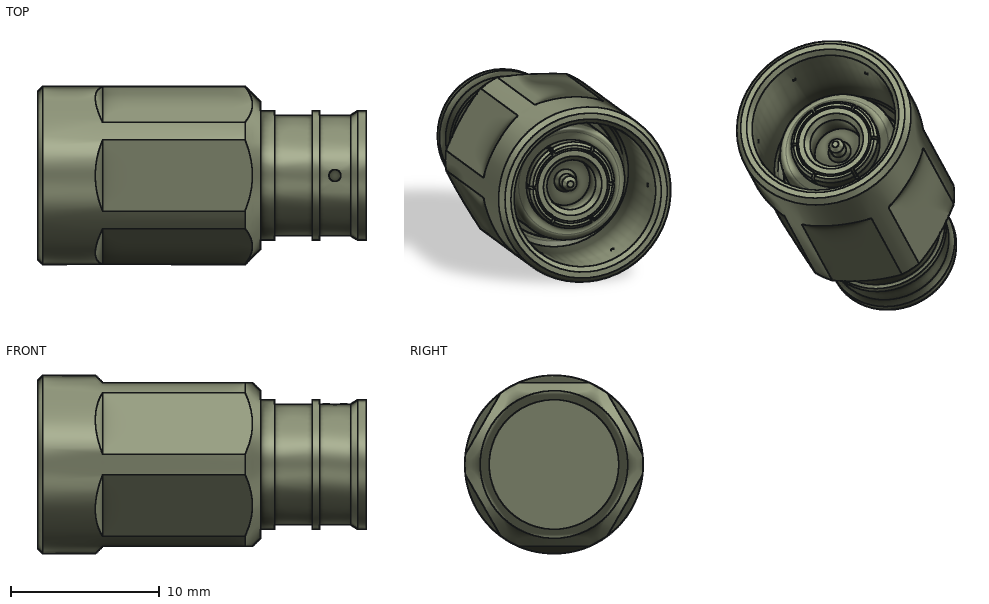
import cadquery as cq
import math


total_length = 22.1
nut_diameter = 12.0
nut_radius = nut_diameter / 2
nut_rear = 14.98
front_chamfer = 0.35
rear_chamfer = 1.04

flat_count = 6
flat_distance = 5.5
flat_start = 4.38
flat_ramp = 0.66

rim_radius = 4.35
neck_radius = 4.07
collar_end = 15.93
ring_start = 18.45
ring_end = 18.96
rear_cone_start = 21.05
rear_cone_end = 21.53

cross_hole_x = 19.98
cross_hole_diameter = 0.8
cross_hole_depth = 0.8

mouth_chamfer = 0.3
cavity_radius = 4.93
cavity_floor_radius = 4.4
cavity_floor = 7.95

seat_start = 7.3
seat_outer_depth = 0.22
seat_inner_depth = 0.18
seat_radius = 4.7
seat_offset_y = 0.02
seat_offset_z = 0.13

boss_radius = 4.0
boss_round = 0.49
boss_front = 4.42

collet_front = 3.45
collet_radius = 2.96
collet_chamfer = 0.2
collet_bore = 2.56
gap_floor = 4.86
slot_count = 6
slot_width = 0.2
slot_taper = 0.18

tube_radius = 2.43
socket_radius = 1.7
socket_chamfer = 0.33
socket_floor = 5.3

pin_tip = 3.98
pin_tip_radius = 0.22
pin_radius = 0.5
pin_base_radius = 0.77

cut_margin = 1.1


def make_body():
    """Revolve the half section, with the radius along Y, about the X axis."""
    pin_tip_cone = pin_radius - pin_tip_radius
    pin_base_cone = pin_base_radius - pin_radius
    round_middle = boss_round * math.sqrt(0.5)
    section = (
        cq.Workplane("XY")
        .moveTo(pin_tip, 0)
        .lineTo(pin_tip, pin_tip_radius)
        .lineTo(pin_tip + pin_tip_cone, pin_radius)
        .lineTo(socket_floor - pin_base_cone, pin_radius)
        .lineTo(socket_floor, pin_base_radius)
        .lineTo(socket_floor, socket_radius)
        .lineTo(collet_front + socket_chamfer, socket_radius)
        .lineTo(collet_front, socket_radius + socket_chamfer)
        .lineTo(collet_front, tube_radius)
        .lineTo(gap_floor, tube_radius)
        .lineTo(gap_floor, collet_bore)
        .lineTo(collet_front, collet_bore)
        .lineTo(collet_front, collet_radius - collet_chamfer)
        .lineTo(collet_front + collet_chamfer, collet_radius)
        .lineTo(boss_front, collet_radius)
        .lineTo(boss_front, boss_radius - boss_round)
        .threePointArc(
            (boss_front + boss_round - round_middle, boss_radius - boss_round + round_middle),
            (boss_front + boss_round, boss_radius),
        )
        .lineTo(cavity_floor, boss_radius)
        .lineTo(cavity_floor, cavity_floor_radius)
        .lineTo(seat_start, cavity_floor_radius)
        .lineTo(seat_start, cavity_radius)
        .lineTo(mouth_chamfer, cavity_radius)
        .lineTo(0, cavity_radius + mouth_chamfer)
        .lineTo(0, nut_radius - front_chamfer)
        .lineTo(front_chamfer, nut_radius)
        .lineTo(nut_rear - rear_chamfer, nut_radius)
        .lineTo(nut_rear, nut_radius - rear_chamfer)
        .lineTo(nut_rear, rim_radius)
        .lineTo(collar_end, rim_radius)
        .lineTo(collar_end, neck_radius)
        .lineTo(ring_start, neck_radius)
        .lineTo(ring_start, rim_radius)
        .lineTo(ring_end, rim_radius)
        .lineTo(ring_end, neck_radius)
        .lineTo(rear_cone_start, neck_radius)
        .lineTo(rear_cone_end, rim_radius)
        .lineTo(total_length, rim_radius)
        .lineTo(total_length, 0)
        .close()
    )
    return section.revolve(360, (0, 0, 0), (1, 0, 0))


def cut_seat(body):
    """Taper the step behind the cavity in two stages, leaving the boss untouched."""
    middle_x = seat_start + seat_outer_depth
    end_x = middle_x + seat_inner_depth

    def circle_across_axis(x, radius, y=0, z=0):
        return cq.Wire.makeCircle(radius, cq.Vector(x, y, z), cq.Vector(1, 0, 0))

    entry = circle_across_axis(seat_start, cavity_radius)
    middle = circle_across_axis(middle_x, seat_radius, seat_offset_y, seat_offset_z)
    end = circle_across_axis(end_x, cavity_floor_radius)
    gap_middle = (boss_radius + cavity_floor_radius) / 2
    core = cq.Workplane("YZ").circle(gap_middle).extrude(total_length)
    for front, rear in ((entry, middle), (middle, end)):
        frustum = cq.Workplane(cq.Solid.makeLoft([front, rear], True))
        body = body.cut(frustum.cut(core))
    return body


def cut_flats(body):
    """Mill the wrench flats, open to the rear and with a 45 degree run-out at the front."""
    cutter = (
        cq.Workplane("XZ")
        .moveTo(flat_start, flat_distance)
        .lineTo(flat_start - flat_ramp, flat_distance + flat_ramp)
        .lineTo(nut_rear + cut_margin, flat_distance + flat_ramp)
        .lineTo(nut_rear + cut_margin, flat_distance)
        .close()
        .extrude(nut_radius, both=True)
    )
    for index in range(flat_count):
        body = body.cut(cutter.rotate((0, 0, 0), (1, 0, 0), index * 360 / flat_count))
    return body


def cut_collet_slots(body):
    """Split the collet with radial slots whose floor is tapered at its outer edge."""
    slot_floor = boss_front + slot_taper
    gap_middle = (tube_radius + collet_bore) / 2
    slot_front = collet_front - cut_margin
    slot_ring = (
        cq.Workplane("XY")
        .moveTo(slot_front, gap_middle)
        .lineTo(slot_floor, gap_middle)
        .lineTo(slot_floor, collet_radius - slot_taper)
        .lineTo(slot_front, collet_radius + boss_front - slot_front)
        .close()
        .revolve(360, (0, 0, 0), (1, 0, 0))
    )
    blade = cq.Workplane("XY").box(
        total_length, nut_radius, slot_width, centered=(True, False, True)
    )
    slot = slot_ring.intersect(blade)
    for index in range(slot_count):
        body = body.cut(slot.rotate((0, 0, 0), (1, 0, 0), index * 360 / slot_count))
    return body


def cut_cross_hole(body):
    """Drill the blind radial hole into the top of the sleeve."""
    drill = (
        cq.Workplane("XY", origin=(cross_hole_x, 0, neck_radius - cross_hole_depth))
        .circle(cross_hole_diameter / 2)
        .extrude(cross_hole_depth + cut_margin)
    )
    return body.cut(drill)


result = make_body()
result = cut_seat(result)
result = cut_flats(result)
result = cut_collet_slots(result)
result = cut_cross_hole(result)